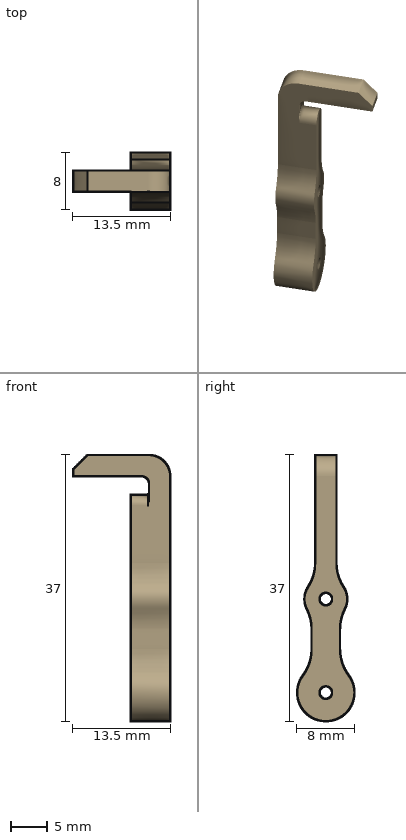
import cadquery as cq
import math

HEIGHT = 37.0
LENGTH = 13.5
BODY_DEPTH = 5.5
BACK_X = LENGTH / 2
FRONT_X = BACK_X - BODY_DEPTH
TIP_X = -LENGTH / 2

LOWER_RADIUS = 4.0
UPPER_RADIUS = 3.0
NECK_HALF = 2.0
POST_WIDTH = 3.0
POST_HALF = POST_WIDTH / 2
BLEND_RADIUS = 6.0
HOLE_DIAMETER = 1.7
HOLE_SPACING = 13.0
LOWER_Z = LOWER_RADIUS
UPPER_Z = LOWER_Z + HOLE_SPACING

HOOK_THICKNESS = 3.0
OUTER_CORNER = 3.0
INNER_CORNER = 1.0
TIP_CHAMFER = 2.0
TONGUE_DROP = 5.5
TONGUE_TOP = HEIGHT - TONGUE_DROP
SHOULDER_Z = TONGUE_TOP - POST_HALF
HOOK_INNER_X = BACK_X - HOOK_THICKNESS
TONGUE_ROOT_FILLET = 0.1


def flank_blend(eye_radius, eye_z, flank_half, direction):
    """Return the eye tangent point, blend midpoint and flank tangent point on the +Y side.

    The blend leaves the eye upward (direction 1) or downward (direction -1).
    """
    center_y = flank_half + BLEND_RADIUS
    reach = eye_radius + BLEND_RADIUS
    rise = math.sqrt(reach**2 - center_y**2)
    center_z = eye_z + direction * rise
    eye_point = (
        center_y * eye_radius / reach,
        eye_z + direction * rise * eye_radius / reach,
    )
    half_angle = math.asin(rise / reach) / 2
    middle = (
        center_y - BLEND_RADIUS * math.cos(half_angle),
        center_z - direction * BLEND_RADIUS * math.sin(half_angle),
    )
    return eye_point, middle, (flank_half, center_z)


def mirrored(point):
    return (-point[0], point[1])


def make_lever():
    """Extrude the two-eyed lever with its round-topped tongue."""
    low_eye, low_mid, low_flank = flank_blend(LOWER_RADIUS, LOWER_Z, NECK_HALF, 1)
    up_eye, up_mid, up_flank = flank_blend(UPPER_RADIUS, UPPER_Z, NECK_HALF, -1)
    post_eye, post_mid, post_flank = flank_blend(UPPER_RADIUS, UPPER_Z, POST_HALF, 1)
    shoulder = (POST_HALF, SHOULDER_Z)
    outline = (
        cq.Workplane("YZ", origin=(FRONT_X, 0, 0))
        .moveTo(*mirrored(low_eye))
        .threePointArc((0, 0), low_eye)
        .threePointArc(low_mid, low_flank)
        .lineTo(*up_flank)
        .threePointArc(up_mid, up_eye)
        .threePointArc((UPPER_RADIUS, UPPER_Z), post_eye)
        .threePointArc(post_mid, post_flank)
        .lineTo(*shoulder)
        .threePointArc((0, TONGUE_TOP), mirrored(shoulder))
        .lineTo(*mirrored(post_flank))
        .threePointArc(mirrored(post_mid), mirrored(post_eye))
        .threePointArc((-UPPER_RADIUS, UPPER_Z), mirrored(up_eye))
        .threePointArc(mirrored(up_mid), mirrored(up_flank))
        .lineTo(*mirrored(low_flank))
        .threePointArc(mirrored(low_mid), mirrored(low_eye))
        .close()
    )
    return outline.extrude(BODY_DEPTH)


def make_hook():
    """Extrude the L-shaped hook that rises behind the tongue."""
    under_z = HEIGHT - HOOK_THICKNESS
    base_z = TONGUE_TOP - POST_WIDTH
    arm = (
        cq.Workplane("XZ")
        .moveTo(HOOK_INNER_X, base_z)
        .lineTo(HOOK_INNER_X, under_z - INNER_CORNER)
        .radiusArc((HOOK_INNER_X - INNER_CORNER, under_z), -INNER_CORNER)
        .lineTo(TIP_X, under_z)
        .lineTo(TIP_X, HEIGHT - TIP_CHAMFER)
        .lineTo(TIP_X + TIP_CHAMFER, HEIGHT)
        .lineTo(BACK_X - OUTER_CORNER, HEIGHT)
        .radiusArc((BACK_X, HEIGHT - OUTER_CORNER), OUTER_CORNER)
        .lineTo(BACK_X, base_z)
        .close()
    )
    return arm.extrude(POST_HALF, both=True)


def make_tongue_root():
    """Revolve the small concave fillet around the tongue, trimmed to the post sides."""
    fillet_profile = (
        cq.Workplane("XZ", origin=(HOOK_INNER_X, 0, SHOULDER_Z))
        .lineTo(0, POST_HALF + TONGUE_ROOT_FILLET)
        .radiusArc((-TONGUE_ROOT_FILLET, POST_HALF), -TONGUE_ROOT_FILLET)
        .lineTo(-TONGUE_ROOT_FILLET, 0)
        .close()
    )
    root_disc = fillet_profile.revolve(360, (0, 0, 0), (1, 0, 0))
    post_slab = cq.Workplane("XY").box(LENGTH, POST_WIDTH, 2 * HEIGHT)
    return root_disc.intersect(post_slab)


def make_holes():
    """Pivot holes through both eyes along X."""
    return (
        cq.Workplane("YZ", origin=(FRONT_X, 0, 0))
        .pushPoints([(0, LOWER_Z), (0, UPPER_Z)])
        .circle(HOLE_DIAMETER / 2)
        .extrude(BODY_DEPTH)
    )


result = make_lever().union(make_hook()).union(make_tongue_root()).cut(make_holes())